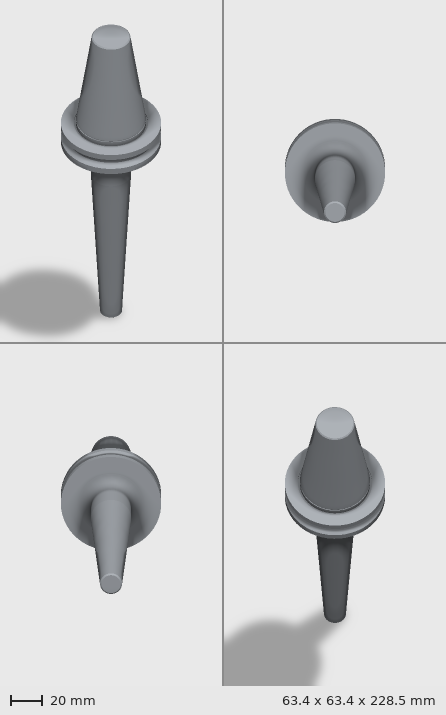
import cadquery as cq
import math

total_height = 228.5
gauge_height = 160.0
gauge_radius = 22.2
taper_slope = 7 / 48
end_chamfer = 0.7

relief_height = 1.0
relief_depth = 0.5

flange_radius = 31.7
flange_top = 156.7
flange_bottom = 141.0
groove_middle = 149.0
groove_depth = 3.7
groove_root_width = 3.2
groove_side_angle = 30
face_recess_radius = 23.5
face_recess_depth = 0.7

nose_radius = 12.8
nose_fillet = 7.5
nose_taper_height = 114.7
nose_half_angle = 2.9
tip_chamfer = 1.0

taper_end_radius = gauge_radius - (total_height - gauge_height) * taper_slope
tip_radius = nose_radius - nose_taper_height * math.tan(math.radians(nose_half_angle))
relief_radius = gauge_radius - relief_depth
relief_bottom = gauge_height - relief_height
groove_root_radius = flange_radius - groove_depth
groove_half_root = groove_root_width / 2
groove_half_mouth = groove_half_root + groove_depth * math.tan(math.radians(groove_side_angle))
recess_floor = flange_top - face_recess_depth
fillet_bottom = flange_bottom - nose_fillet
fillet_center_radius = nose_radius + nose_fillet
fillet_mid_offset = nose_fillet * math.sqrt(0.5)


def half_profile():
    """Half section in the XZ plane, from the nose tip up to the taper end."""
    outline = cq.Workplane("XZ").moveTo(0, 0)

    outline = (
        outline.lineTo(tip_radius - tip_chamfer, 0)
        .lineTo(tip_radius, tip_chamfer)
        .lineTo(nose_radius, nose_taper_height)
        .lineTo(nose_radius, fillet_bottom)
        .threePointArc(
            (fillet_center_radius - fillet_mid_offset, fillet_bottom + fillet_mid_offset),
            (fillet_center_radius, flange_bottom),
        )
    )

    outline = (
        outline.lineTo(flange_radius, flange_bottom)
        .lineTo(flange_radius, groove_middle - groove_half_mouth)
        .lineTo(groove_root_radius, groove_middle - groove_half_root)
        .lineTo(groove_root_radius, groove_middle + groove_half_root)
        .lineTo(flange_radius, groove_middle + groove_half_mouth)
        .lineTo(flange_radius, flange_top)
        .lineTo(face_recess_radius, flange_top)
        .lineTo(face_recess_radius, recess_floor)
        .lineTo(gauge_radius, recess_floor)
    )

    outline = (
        outline.lineTo(gauge_radius, relief_bottom)
        .lineTo(relief_radius, relief_bottom)
        .lineTo(relief_radius, gauge_height)
        .lineTo(gauge_radius, gauge_height)
        .lineTo(taper_end_radius + end_chamfer * taper_slope, total_height - end_chamfer)
        .lineTo(taper_end_radius - end_chamfer, total_height)
        .lineTo(0, total_height)
    )
    return outline.close()


result = half_profile().revolve(360, (0, 0, 0), (0, 1, 0))